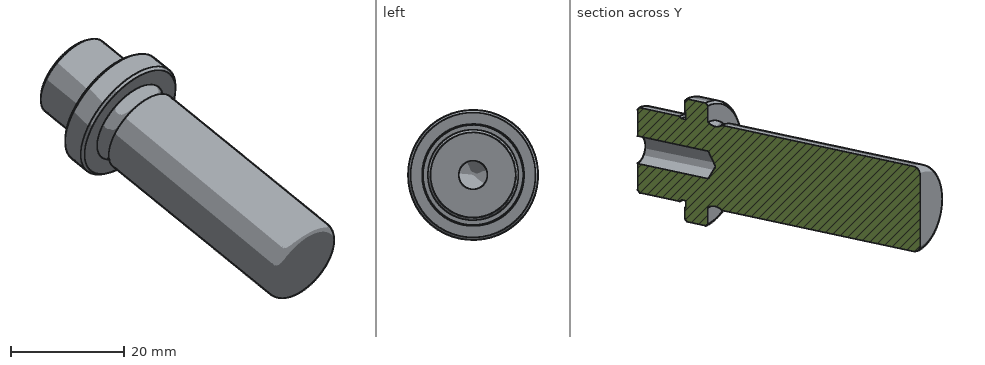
import cadquery as cq
import math

length = 60.0
shaft_radius = 8.0
end_round = 1.5

flange_start = 10.0
flange_end = 15.0
flange_radius = 11.49
edge_chamfer = 0.5

relief_depth = 0.35
relief_start = 9.0
face_relief_depth = 0.2
face_relief_radius = 9.0

neck_end = 18.0
neck_depth = 0.5

hole_radius = 2.5
hole_depth = 15.0
drill_point_angle = 118.0


def make_body():
    """Revolve the half outline of spigot, flange, neck and shaft."""
    relief_radius = shaft_radius - relief_depth
    relief_floor = flange_start + face_relief_depth
    neck_middle = (flange_end + neck_end) / 2
    round_inset = end_round * (1 - math.sqrt(0.5))
    outline = (
        cq.Workplane("XY")
        .lineTo(0, shaft_radius - edge_chamfer)
        .lineTo(edge_chamfer, shaft_radius)
        .lineTo(relief_start, shaft_radius)
        .lineTo(relief_start + relief_depth, relief_radius)
        .lineTo(relief_floor, relief_radius)
        .lineTo(relief_floor, face_relief_radius - face_relief_depth)
        .lineTo(flange_start, face_relief_radius)
        .lineTo(flange_start, flange_radius - edge_chamfer)
        .lineTo(flange_start + edge_chamfer, flange_radius)
        .lineTo(flange_end - edge_chamfer, flange_radius)
        .lineTo(flange_end, flange_radius - edge_chamfer)
        .lineTo(flange_end, shaft_radius)
        .threePointArc((neck_middle, shaft_radius - neck_depth), (neck_end, shaft_radius))
        .lineTo(length - end_round, shaft_radius)
        .threePointArc(
            (length - round_inset, shaft_radius - round_inset),
            (length, shaft_radius - end_round),
        )
        .lineTo(length, 0)
        .close()
    )
    return outline.revolve(360, (0, 0, 0), (1, 0, 0))


def make_hole():
    """Revolve the drilled hole with its conical bottom."""
    point_length = hole_radius / math.tan(math.radians(drill_point_angle / 2))
    outline = (
        cq.Workplane("XY")
        .lineTo(0, hole_radius)
        .lineTo(hole_depth, hole_radius)
        .lineTo(hole_depth + point_length, 0)
        .close()
    )
    return outline.revolve(360, (0, 0, 0), (1, 0, 0))


result = make_body().cut(make_hole())